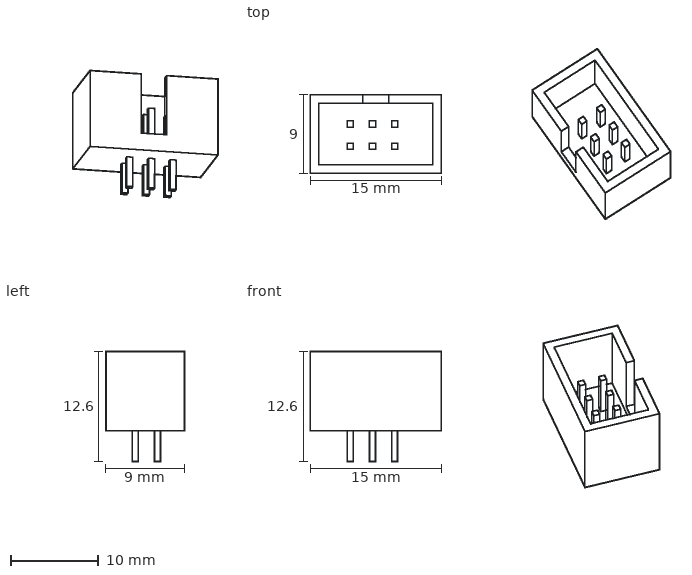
import cadquery as cq

length = 15.0
width = 9.0
total_height = 12.6
pin_tail = 3.51
housing_height = total_height - pin_tail
wall = 1.0
floor_thickness = wall

slot_width = 3.0
slot_bottom = 2 * floor_thickness

pin_size = 0.7
pin_pitch = 2.54
pin_columns = 3
pin_rows = 2
pin_top = 6.0
pin_center_x = -0.39
pin_center_y = -0.12


def make_housing():
    """Open-topped box with a plain floor."""
    box = cq.Workplane("XY").box(length, width, housing_height, centered=(True, True, False))
    cavity = (
        cq.Workplane("XY")
        .workplane(offset=floor_thickness)
        .rect(length - 2 * wall, width - 2 * wall)
        .extrude(housing_height - floor_thickness)
    )
    return box.cut(cavity)


def make_key_slot():
    """Block that opens the middle of the +Y wall from a low sill up to the rim."""
    return (
        cq.Workplane("XY")
        .workplane(offset=slot_bottom)
        .center(0, (width - wall) / 2)
        .rect(slot_width, wall)
        .extrude(housing_height - slot_bottom)
    )


def make_pins():
    """Grid of pins running through the floor."""
    return (
        cq.Workplane("XY")
        .workplane(offset=-pin_tail)
        .center(pin_center_x, pin_center_y)
        .rarray(pin_pitch, pin_pitch, pin_columns, pin_rows)
        .rect(pin_size, pin_size)
        .extrude(pin_tail + pin_top)
    )


result = make_housing().cut(make_key_slot()).union(make_pins())